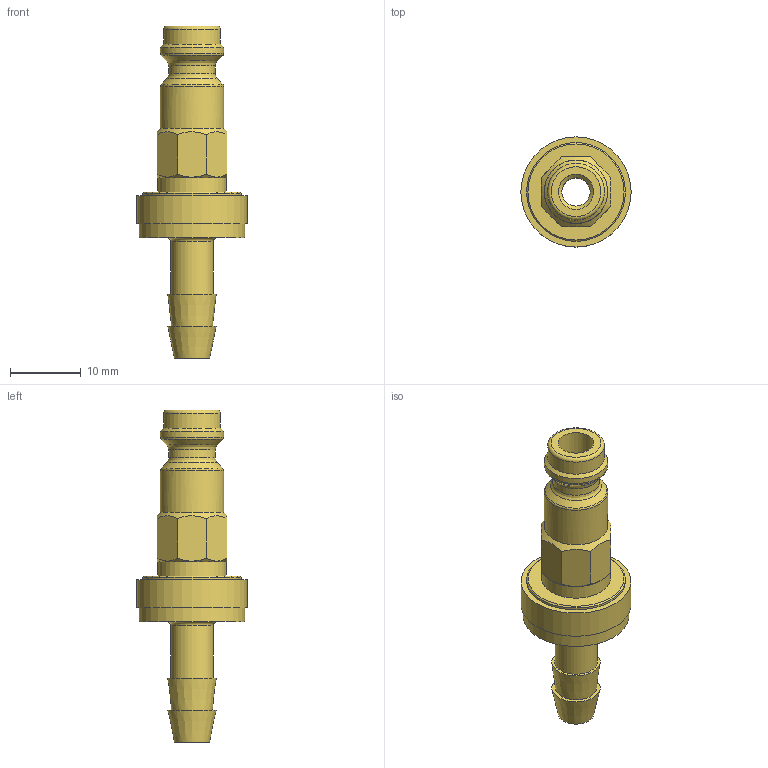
import cadquery as cq
import math

TOTAL_LENGTH = 47.0
LOWER_BARB_TOP = 4.5
UPPER_BARB_TOP = 2 * LOWER_BARB_TOP
FLANGE_BOTTOM = 17.0
FLANGE_STEP = FLANGE_BOTTOM + 2.0
FLANGE_TOP = FLANGE_STEP + 4.0
CAP_TOP = FLANGE_TOP + 0.5
WRENCH_BOTTOM = 25.5
PLUG_BOTTOM = 32.5
SHANK_TOP = 38.65
LIP_BOTTOM = 42.95
LIP_TOP = 43.97

TIP_RADIUS = 5.0 / 2
BARB_RADIUS = 6.85 / 2
UPPER_BARB_ROOT_RADIUS = 5.8 / 2
STEM_RADIUS = 6.0 / 2
FLANGE_LOWER_RADIUS = 15.0 / 2
FLANGE_RADIUS = 15.6 / 2
CAP_RADIUS = 14.0 / 2
COLLAR_RADIUS = 9.7 / 2
PLUG_RADIUS = 8.96 / 2
NECK_RADIUS = 6.6 / 2
NOSE_RADIUS = 8.05 / 2

CAP_CHAMFER = 0.2
STEM_FILLET = 0.5
NECK_FILLET = 1.0
SHOULDER_FILLET = 0.4
NOSE_FILLET = 0.5

WRENCH_SIDES = 8
WRENCH_ACROSS_FLATS = 9.9
WRENCH_CORNER_RADIUS = WRENCH_ACROSS_FLATS / 2 / math.cos(math.pi / WRENCH_SIDES)

BORE_RADIUS = 4.0 / 2
COUNTERBORE_RADIUS = 5.0 / 2
COUNTERBORE_BOTTOM = TOTAL_LENGTH / 2


def revolve_profile(points):
    """Turn a closed (radius, height) outline about the Z axis."""
    return cq.Workplane("XZ").polyline(points).close().revolve(360, (0, 0, 0), (0, 1, 0))


def circles_at(radius, height):
    """Selector for the circular edge of the given radius and height."""
    reach = radius + 0.01
    thickness = 0.01
    return cq.selectors.BoxSelector(
        (-reach, -reach, height - thickness), (reach, reach, height + thickness), boundingbox=True
    )


def make_hose_end():
    """Barbed stem, flange and round collar."""
    body = revolve_profile([
        (0, 0),
        (TIP_RADIUS, 0),
        (BARB_RADIUS, LOWER_BARB_TOP),
        (UPPER_BARB_ROOT_RADIUS, LOWER_BARB_TOP),
        (BARB_RADIUS, UPPER_BARB_TOP),
        (STEM_RADIUS, UPPER_BARB_TOP),
        (STEM_RADIUS, FLANGE_BOTTOM),
        (FLANGE_LOWER_RADIUS, FLANGE_BOTTOM),
        (FLANGE_LOWER_RADIUS, FLANGE_STEP),
        (FLANGE_RADIUS, FLANGE_STEP),
        (FLANGE_RADIUS, FLANGE_TOP),
        (CAP_RADIUS, FLANGE_TOP),
        (CAP_RADIUS, CAP_TOP - CAP_CHAMFER),
        (CAP_RADIUS - CAP_CHAMFER, CAP_TOP),
        (COLLAR_RADIUS, CAP_TOP),
        (COLLAR_RADIUS, WRENCH_BOTTOM),
        (0, WRENCH_BOTTOM),
    ])
    return body.edges(circles_at(STEM_RADIUS, FLANGE_BOTTOM)).fillet(STEM_FILLET)


def make_wrench_section():
    """Octagon whose corners are trimmed by 45 degree cones at both ends."""
    octagon = (
        cq.Workplane("XY", origin=(0, 0, WRENCH_BOTTOM))
        .transformed(rotate=(0, 0, 180 / WRENCH_SIDES))
        .polygon(WRENCH_SIDES, 2 * WRENCH_CORNER_RADIUS)
        .extrude(PLUG_BOTTOM - WRENCH_BOTTOM)
    )
    lower_cone_height = WRENCH_CORNER_RADIUS - COLLAR_RADIUS
    upper_cone_height = WRENCH_CORNER_RADIUS - PLUG_RADIUS
    envelope = revolve_profile([
        (0, WRENCH_BOTTOM),
        (COLLAR_RADIUS, WRENCH_BOTTOM),
        (WRENCH_CORNER_RADIUS, WRENCH_BOTTOM + lower_cone_height),
        (WRENCH_CORNER_RADIUS, PLUG_BOTTOM - upper_cone_height),
        (PLUG_RADIUS, PLUG_BOTTOM),
        (0, PLUG_BOTTOM),
    ])
    return octagon.intersect(envelope)


def make_plug():
    """Coupling plug: shank, locking groove with 45 degree flanks, lip and nose."""
    flank_height = PLUG_RADIUS - NECK_RADIUS
    neck_top = LIP_BOTTOM - flank_height
    neck_bottom = SHANK_TOP + flank_height
    nose_bottom = LIP_TOP + PLUG_RADIUS - NOSE_RADIUS
    plug = revolve_profile([
        (0, PLUG_BOTTOM),
        (PLUG_RADIUS, PLUG_BOTTOM),
        (PLUG_RADIUS, SHANK_TOP),
        (NECK_RADIUS, neck_bottom),
        (NECK_RADIUS, neck_top),
        (PLUG_RADIUS, LIP_BOTTOM),
        (PLUG_RADIUS, LIP_TOP),
        (NOSE_RADIUS, nose_bottom),
        (NOSE_RADIUS, TOTAL_LENGTH),
        (0, TOTAL_LENGTH),
    ])
    for height in (neck_bottom, neck_top):
        plug = plug.edges(circles_at(NECK_RADIUS, height)).fillet(NECK_FILLET)
    for height in (SHANK_TOP, LIP_BOTTOM):
        plug = plug.edges(circles_at(PLUG_RADIUS, height)).fillet(SHOULDER_FILLET)
    return plug.edges(circles_at(NOSE_RADIUS, TOTAL_LENGTH)).fillet(NOSE_FILLET)


def make_bore():
    """Through bore, widened from the nose end with a 45 degree transition."""
    transition_height = COUNTERBORE_RADIUS - BORE_RADIUS
    return revolve_profile([
        (0, 0),
        (BORE_RADIUS, 0),
        (BORE_RADIUS, COUNTERBORE_BOTTOM - transition_height),
        (COUNTERBORE_RADIUS, COUNTERBORE_BOTTOM),
        (COUNTERBORE_RADIUS, TOTAL_LENGTH),
        (0, TOTAL_LENGTH),
    ])


result = make_hose_end().union(make_wrench_section()).union(make_plug()).cut(make_bore())